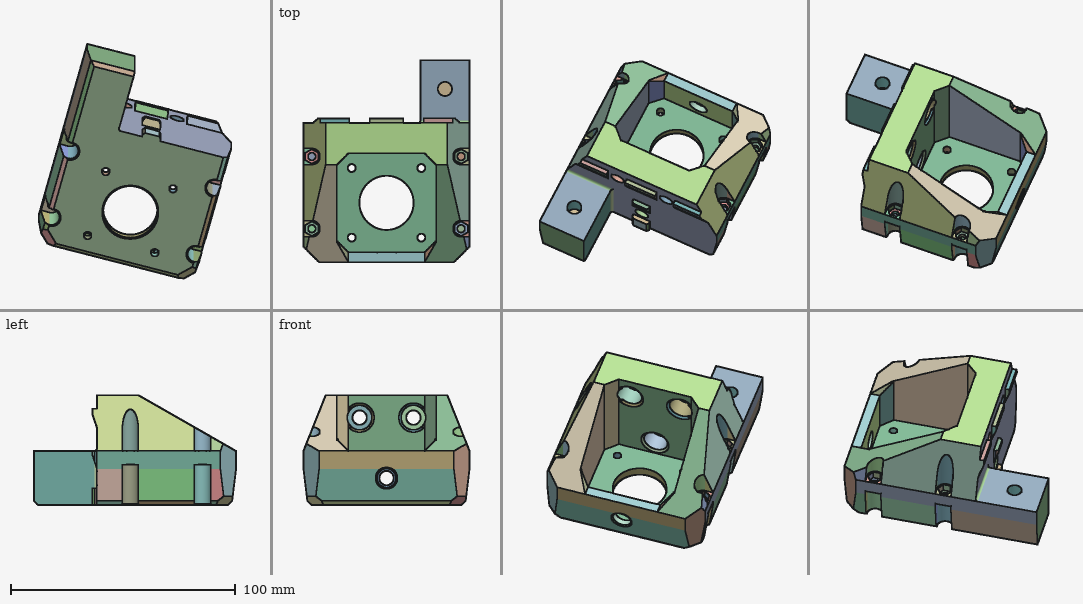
import cadquery as cq
import math

half_width = 37.0
body_depth = 62.0
total_height = 49.0
shoulder_height = 24.1
taper_top = 16.1
base_chamfer = 2.0
taper_inset = 1.7
top_half_width = 27.1
slope_end = 43.5
corner_chamfer = 7.0
corner_base_chamfer = 4.0

cavity_half = 22.05
front_wall = 4.4
cavity_corner = 5.1
floor_thickness = 4.95
motor_bore = 24.0
motor_bore_chamfer = 0.5
motor_hole_pitch = 31.0
motor_hole = 3.4

bolt_hole = 6.3
bolt_head_bore = 11.0
bolt_head_seat = 4.5
bore_edge_chamfer = 1.0
upper_bolt_x = 12.0
upper_bolt_z = 39.0
lower_bolt_z = 12.1
access_hole = 8.5
access_chamfer = 0.6

tab_projection = 2.0
tab_width = 8.4
tab_slope_height = 5.85
tab_edge_chamfer = 1.0
tab_gap = 9.0
tab_top = 42.9

screw_x = 33.2
screw_rows = (14.9, 47.1)
screw_hole = 3.4
screw_pocket = 7.2
screw_mouth_chamfer = 0.5
screw_head_top = 18.0
nut_flats = 5.7
nut_depth = 3.6
screw_web = 0.3

arm_inner_x = 15.0
arm_end = 90.0
arm_hole = 6.3
arm_hole_x = (arm_inner_x + half_width) / 2
arm_hole_y = 77.1
arm_hole_depth = 9.0
arm_end_chamfer = 1.9
arm_root_fillet = 1.0

cavity_back = front_wall + 2 * cavity_half
cavity_center_y = front_wall + cavity_half
opening_half = cavity_half - cavity_corner
base_inset = taper_inset + base_chamfer
tab_face = body_depth + tab_projection


def box(x0, x1, y0, y1, z0, z1):
    return cq.Workplane("XY").box(x1 - x0, y1 - y0, z1 - z0, centered=False).translate((x0, y0, z0))


def along_x(points, x0, x1):
    """Extrude a (Y, Z) outline from x0 to x1."""
    return cq.Workplane("YZ", origin=(x0, 0, 0)).polyline(points).close().extrude(x1 - x0)


def along_y(points, y0, y1):
    """Extrude an (X, Z) outline from y0 to y1."""
    return cq.Workplane("XZ", origin=(0, y0, 0)).polyline(points).close().extrude(y0 - y1)


def rod_y(x, z, diameter, y0, y1):
    return cq.Workplane("XZ", origin=(x, y0, z)).circle(diameter / 2).extrude(y0 - y1)


def cone_y(x, z, radius, y, depth):
    """45 degree bevel cone narrowing from y toward +Y."""
    plane = cq.Plane(origin=(x, y, z), xDir=(1, 0, 0), normal=(0, 1, 0))
    return cq.Workplane(plane).circle(radius).extrude(depth, taper=45)


def rod_z(x, y, diameter, z0, z1):
    return cq.Workplane("XY", origin=(x, y, z0)).circle(diameter / 2).extrude(z1 - z0)


def cross_section(y0, y1):
    """Tapered outline across X, shared by the body and the arm."""
    right = [
        (half_width - base_inset, 0),
        (half_width - taper_inset, base_chamfer),
        (half_width, taper_top),
        (half_width, shoulder_height),
        (top_half_width, total_height),
    ]
    left = [(-x, z) for x, z in reversed(right)]
    return along_y(right + left, y0, y1)


def front_corner_cut(side):
    """Prism removing one front corner: upright chamfer plus its undercut."""
    plane = cq.Plane(
        origin=(side * half_width, corner_chamfer, 0),
        xDir=(side, -1, 0),
        normal=(-1, -side, 0),
    )
    outline = [
        (-corner_base_chamfer, 0),
        (0, corner_base_chamfer),
        (0, total_height),
        (corner_chamfer, total_height),
        (corner_chamfer, 0),
    ]
    return cq.Workplane(plane).polyline(outline).close().extrude(2 * half_width, both=True)


def make_body():
    side_profile = [
        (base_inset, 0),
        (taper_inset, base_chamfer),
        (0, taper_top),
        (0, shoulder_height),
        (slope_end, total_height),
        (body_depth, total_height),
        (body_depth, 0),
    ]
    body = cross_section(0, body_depth).intersect(along_x(side_profile, -half_width, half_width))
    for side in (-1, 1):
        body = body.cut(front_corner_cut(side))
    return body


def make_arm():
    """Rear arm with a rounded root, trimmed to the tapered outline."""
    outer_x = 2 * half_width
    arm_profile = [
        (cavity_back, 0),
        (arm_end - arm_end_chamfer, 0),
        (arm_end, arm_end_chamfer),
        (arm_end, shoulder_height),
        (cavity_back, shoulder_height),
    ]
    wall = box(0, outer_x, cavity_back, body_depth, 0, total_height)
    arm = wall.union(along_x(arm_profile, arm_inner_x, outer_x))
    root_center_x = (arm_inner_x + outer_x) / 2
    root_edges = cq.selectors.NearestToPointSelector((arm_inner_x, body_depth, shoulder_height / 2))
    root_edges += cq.selectors.NearestToPointSelector((root_center_x, body_depth, shoulder_height))
    arm = arm.edges(root_edges).fillet(arm_root_fillet)
    return arm.intersect(cross_section(cavity_back, arm_end))


def tab_side_profile(top):
    """(Y, Z) outline with a flat top and a sloping underside."""
    bottom = top - tab_width
    return [
        (cavity_back, top),
        (tab_face, top),
        (tab_face, bottom + tab_slope_height),
        (body_depth, bottom),
        (cavity_back, bottom),
    ]


def upper_tab():
    """Horizontal tab split by the two upper bolts."""
    tab = along_x(tab_side_profile(tab_top), -half_width, half_width)
    for x in (-upper_bolt_x, upper_bolt_x):
        tab = tab.cut(box(x - tab_gap / 2, x + tab_gap / 2, body_depth, tab_face, 0, total_height))
    return tab.intersect(cross_section(0, tab_face))


def lower_tab():
    """Upright tab with bevelled edges, split by the lower bolt."""
    half = tab_width / 2
    outline = [
        (-half, cavity_back),
        (half, cavity_back),
        (half, tab_face - tab_edge_chamfer),
        (half - tab_edge_chamfer, tab_face),
        (-half + tab_edge_chamfer, tab_face),
        (-half, tab_face - tab_edge_chamfer),
    ]
    tab = cq.Workplane("XY").polyline(outline).close().extrude(shoulder_height)
    gap_low = lower_bolt_z - tab_gap / 2
    gap_high = lower_bolt_z + tab_gap / 2
    gap = [
        (body_depth, gap_low),
        (tab_face, gap_low),
        (tab_face, gap_high + tab_slope_height),
        (body_depth, gap_high),
    ]
    return tab.cut(along_x(gap, -half, half))


def motor_cavity():
    """Square pocket with bevelled corners and a flared opening in the front wall."""
    pocket = box(-cavity_half, cavity_half, front_wall, cavity_back, floor_thickness, total_height)
    pocket = pocket.edges("|Z").chamfer(cavity_corner)
    opening = [
        (-opening_half, shoulder_height),
        (opening_half, shoulder_height),
        (cavity_half, shoulder_height + cavity_corner),
        (-cavity_half, shoulder_height + cavity_corner),
    ]
    return pocket.union(along_y(opening, 0, front_wall + cavity_corner))


def motor_holes():
    bore = rod_z(0, cavity_center_y, motor_bore, 0, floor_thickness)
    bevel = (
        cq.Workplane("XY")
        .center(0, cavity_center_y)
        .circle(motor_bore / 2 + motor_bore_chamfer)
        .extrude(motor_bore_chamfer, taper=45)
    )
    holes = bore.union(bevel)
    for dx in (-motor_hole_pitch / 2, motor_hole_pitch / 2):
        for dy in (-motor_hole_pitch / 2, motor_hole_pitch / 2):
            holes = holes.union(rod_z(dx, cavity_center_y + dy, motor_hole, 0, floor_thickness))
    return holes


def back_bolt(x, z):
    """Bolt clearance, head bore and its bevelled mouth on the cavity side."""
    hole = rod_y(x, z, bolt_hole, cavity_back, tab_face)
    head = rod_y(x, z, bolt_head_bore, cavity_back - cavity_corner, body_depth - bolt_head_seat)
    mouth_radius = bolt_head_bore / 2 + bore_edge_chamfer
    mouth = cone_y(x, z, mouth_radius, cavity_back, bore_edge_chamfer)
    flat_offset = opening_half - abs(x)
    if flat_offset < mouth_radius:
        stop = math.sqrt(mouth_radius**2 - flat_offset**2)
        outer_x = math.copysign(cavity_half, x)
        mouth = mouth.cut(
            box(min(x, outer_x), max(x, outer_x), cavity_back, body_depth, z - stop, z + stop)
        )
    return hole.union(head).union(mouth)


def front_access():
    """Tool hole in the front wall with a bevel square to the leaning face."""
    lean = taper_inset / (taper_top - base_chamfer)
    face_y = lean * (taper_top - lower_bolt_z)
    bevel_plane = cq.Plane(origin=(0, face_y, lower_bolt_z), xDir=(1, 0, 0), normal=(0, 1, lean))
    bevel = (
        cq.Workplane(bevel_plane)
        .circle(access_hole / 2 + access_chamfer)
        .extrude(access_chamfer, taper=45)
    )
    return rod_y(0, lower_bolt_z, access_hole, 0, front_wall).union(bevel)


def side_screw(side, y):
    """Nut trap above and open head recess below, joined by a blind screw hole."""
    x = side * screw_x
    hex_corners = nut_flats / math.cos(math.pi / 6)
    outer_x = side * (half_width + screw_pocket)

    def pocket_outline(z, radius):
        """Round-ended slot open to the outer side of the housing."""
        return (
            cq.Workplane("XY", origin=(0, 0, z))
            .moveTo(x, y - radius)
            .threePointArc((x - side * radius, y), (x, y + radius))
            .lineTo(outer_x, y + radius)
            .lineTo(outer_x, y - radius)
            .close()
        )

    radius = screw_pocket / 2
    nut_access = pocket_outline(shoulder_height, radius).extrude(total_height - shoulder_height)
    head_recess = pocket_outline(0, radius).extrude(screw_head_top)
    head_mouth = pocket_outline(0, radius + screw_mouth_chamfer).extrude(screw_mouth_chamfer, taper=45)
    nut = (
        cq.Workplane("XY", origin=(x, y, shoulder_height - nut_depth))
        .transformed(rotate=(0, 0, 90))
        .polygon(6, hex_corners)
        .extrude(nut_depth)
    )
    shank = rod_z(x, y, screw_hole, screw_head_top + screw_web, shoulder_height)
    return nut_access.union(head_recess).union(head_mouth).union(nut).union(shank)


result = make_body().union(make_arm())
result = result.union(upper_tab()).union(lower_tab())
result = result.cut(motor_cavity()).cut(motor_holes()).cut(front_access())
for bolt_x, bolt_z in ((-upper_bolt_x, upper_bolt_z), (upper_bolt_x, upper_bolt_z), (0, lower_bolt_z)):
    result = result.cut(back_bolt(bolt_x, bolt_z))
for side in (-1, 1):
    for row_y in screw_rows:
        result = result.cut(side_screw(side, row_y))
arm_hole_floor = shoulder_height - arm_hole_depth
result = result.cut(rod_z(arm_hole_x, arm_hole_y, arm_hole, arm_hole_floor, shoulder_height))